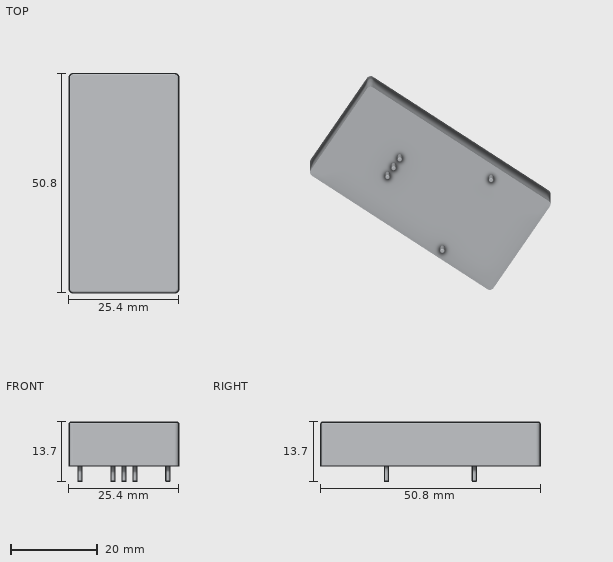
import cadquery as cq

case_length = 50.8
case_width = case_length / 2
case_height = 10.15
corner_radius = 1.0
top_edge_radius = 0.5

pin_diameter = 1.0
pin_length = 3.55
pin_tip_radius = 0.2
pin_pitch = 2.55
row_offset = 4 * pin_pitch
outer_pin_offset = 4 * pin_pitch

pin_positions = [
    (-outer_pin_offset, -row_offset),
    (outer_pin_offset, -row_offset),
    (-pin_pitch, row_offset),
    (0, row_offset),
    (pin_pitch, row_offset),
]


def make_case():
    """Block with rounded vertical corners and a rounded top rim."""
    block = cq.Workplane("XY").box(case_width, case_length, case_height, centered=(True, True, False))
    return block.edges("|Z").fillet(corner_radius).faces(">Z").edges().fillet(top_edge_radius)


def make_pins():
    """All pins, hanging from the underside, with rounded tips."""
    pins = cq.Workplane("XY").pushPoints(pin_positions).circle(pin_diameter / 2).extrude(-pin_length)
    return pins.faces("<Z").edges().fillet(pin_tip_radius)


result = make_case().union(make_pins())